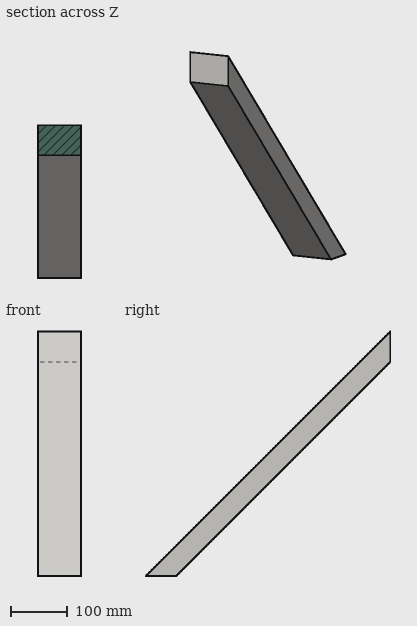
import cadquery as cq

span = 431.0
width = 76.5
end_cut = 54.0

half_span = span / 2

profile = [
    (-half_span, -half_span),
    (-half_span + end_cut, -half_span),
    (half_span, half_span - end_cut),
    (half_span, half_span),
]

result = cq.Workplane("YZ").polyline(profile).close().extrude(width / 2, both=True)